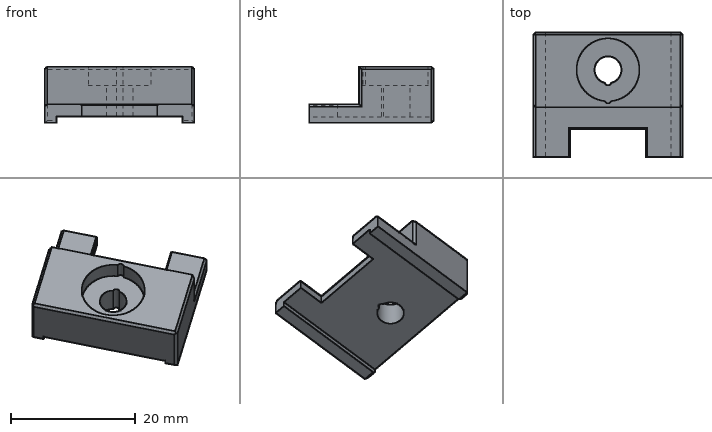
import cadquery as cq

width = 24.0
depth = 20.0
height = 9.0
shelf_depth = 8.0
shelf_height = 3.0

bevel = 0.4

foot_width = 1.95
channel_height = 1.0

notch_width = 12.15
notch_depth = 4.5
notch_bevel = 0.2

hole_y = depth - 6.0
hole_radius = 2.14
counterbore_radius = 5.05
counterbore_depth = 3.0
relief_radius = 0.5
relief_inset = 0.17


def step_profile(inset):
    """Stepped YZ outline with its back, top and step faces moved inwards."""
    back = depth - inset
    top = height - inset
    step = shelf_depth + inset
    shelf = shelf_height - inset
    return [(0, 0), (back, 0), (back, top), (step, top), (step, shelf), (0, shelf)]


def end_cap(side):
    """Tapered end of the block; side is -1 for -X and +1 for +X."""
    inner_x = side * (width / 2 - bevel)
    return (
        cq.Workplane("YZ", origin=(inner_x, 0, 0))
        .polyline(step_profile(0))
        .close()
        .workplane(offset=side * bevel)
        .polyline(step_profile(bevel))
        .close()
        .loft(ruled=True, combine=True)
    )


def make_block():
    core = (
        cq.Workplane("YZ")
        .polyline(step_profile(0))
        .close()
        .extrude(width / 2 - bevel, both=True)
    )
    return core.union(end_cap(-1)).union(end_cap(1))


def back_bevel(edge_z, inward):
    """Wedge removed along a back edge; inward is the Z direction into the block."""
    return (
        cq.Workplane("YZ")
        .polyline([(depth, edge_z), (depth - bevel, edge_z), (depth, edge_z + inward * bevel)])
        .close()
        .extrude(width / 2, both=True)
    )


def make_channel():
    return cq.Workplane("XY").box(
        width - 2 * foot_width, depth, channel_height, centered=(True, False, False)
    )


def notch_outline(z, widening):
    """Rectangle open to the front, grown by widening at its sides and back."""
    half_width = notch_width / 2 + widening
    back = notch_depth + widening
    return (
        cq.Workplane("XY", origin=(0, 0, z))
        .polyline([(-half_width, 0), (half_width, 0), (half_width, back), (-half_width, back)])
        .close()
    )


def make_notch():
    slot = notch_outline(0, 0).extrude(shelf_height)
    lower = notch_outline(shelf_height - notch_bevel, 0)
    upper = notch_outline(shelf_height, notch_bevel)
    flare = cq.Workplane(
        cq.Solid.makeLoft([lower.wires().val(), upper.wires().val()], True)
    )
    return slot.union(flare)


def relieved_bore(radius, bottom_z):
    """Bore open at the top, with a small round relief on its front side."""
    plane = cq.Workplane("XY", origin=(0, hole_y, bottom_z))
    bore = plane.circle(radius).extrude(height - bottom_z)
    relief = plane.center(0, relief_inset - radius).circle(relief_radius).extrude(height - bottom_z)
    return bore.union(relief)


result = (
    make_block()
    .cut(back_bevel(height, -1))
    .cut(back_bevel(0, 1))
    .cut(make_channel())
    .cut(make_notch())
    .cut(relieved_bore(hole_radius, 0))
    .cut(relieved_bore(counterbore_radius, height - counterbore_depth))
)